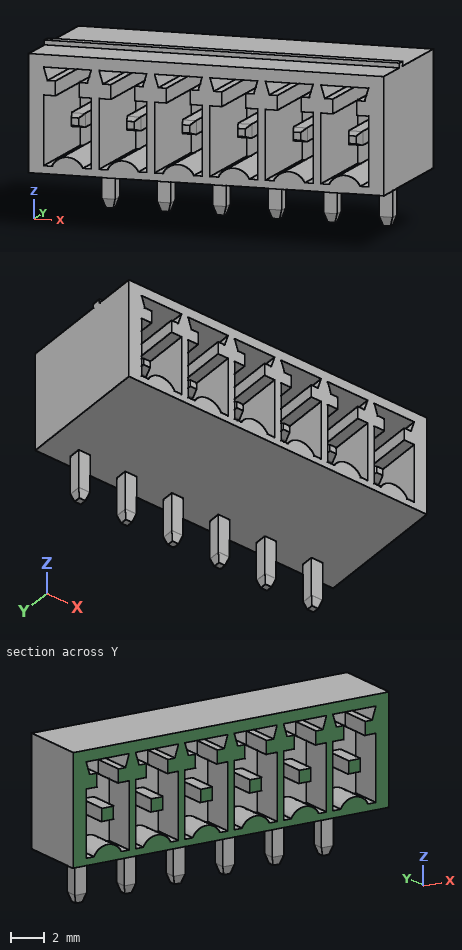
import cadquery as cq


length = 22.4
depth = 9.2
height = 7.25
front_y = -depth / 2
back_y = depth / 2

ridge_width = 0.63
ridge_height = 0.3
ridge_setback = 2.9

contact_count = 6
row_span = 17.5
pitch = row_span / (contact_count - 1)
cavity_width = 3.0
cavity_floor = 0.5
cavity_roof = 6.5
lip_bottom = 4.8
lip_top = 5.7
lip_gap = 1.5
dovetail_base = 2.5
arch_width = 1.97
arch_rise = 0.6

pin_size = 0.85
pin_tip_size = 0.47
pin_taper = 0.6
pin_height = 3.0
pin_inset = 1.2
tail_length = 3.4
contact_setback = 1.43

rear_wall = 2 * pin_inset
cavity_depth = depth - rear_wall
leg_y = back_y - pin_inset


def make_housing():
    block = cq.Workplane("XY").box(length, depth, height, centered=(True, True, False))
    ridge = (
        cq.Workplane("XY")
        .box(length, ridge_width, ridge_height, centered=(True, False, False))
        .translate((0, front_y + ridge_setback, height))
    )
    return block.union(ridge)


def make_cavity(x):
    """Keyed pocket: arched floor, two lips on the side walls, dovetail keyway above them."""
    half_width = cavity_width / 2
    half_gap = lip_gap / 2
    half_base = dovetail_base / 2
    half_arch = arch_width / 2
    return (
        cq.Workplane("XZ", origin=(x, front_y, 0))
        .moveTo(-half_width, cavity_floor)
        .lineTo(-half_arch, cavity_floor)
        .threePointArc((0, cavity_floor + arch_rise), (half_arch, cavity_floor))
        .lineTo(half_width, cavity_floor)
        .lineTo(half_width, lip_bottom)
        .lineTo(half_gap, lip_bottom)
        .lineTo(half_gap, lip_top)
        .lineTo(half_base, lip_top)
        .lineTo(half_width, cavity_roof)
        .lineTo(-half_width, cavity_roof)
        .lineTo(-half_base, lip_top)
        .lineTo(-half_gap, lip_top)
        .lineTo(-half_gap, lip_bottom)
        .lineTo(-half_width, lip_bottom)
        .close()
        .extrude(-cavity_depth)
    )


def make_leg(bend, direction, leg_length):
    """Square leg running from the bend along direction, its far end tapered to a blunt tip."""
    shank_length = leg_length - pin_taper
    section = cq.Plane(origin=bend, xDir=(1, 0, 0), normal=direction)
    shank = cq.Workplane(section).rect(pin_size, pin_size).extrude(shank_length)
    tip = (
        cq.Workplane(section)
        .workplane(offset=shank_length)
        .rect(pin_size, pin_size)
        .workplane(offset=pin_taper)
        .rect(pin_tip_size, pin_tip_size)
        .loft()
    )
    return shank.union(tip)


def make_pin(x):
    """Contact leg toward -Y and solder tail toward -Z, meeting at a bend inside the rear wall."""
    bend = (x, leg_y, pin_height)
    contact = make_leg(bend, (0, -1, 0), leg_y - front_y - contact_setback)
    tail = make_leg(bend, (0, 0, -1), pin_height + tail_length)
    return contact.union(tail)


result = make_housing()
for index in range(contact_count):
    contact_x = (index - (contact_count - 1) / 2) * pitch
    result = result.cut(make_cavity(contact_x)).union(make_pin(contact_x))